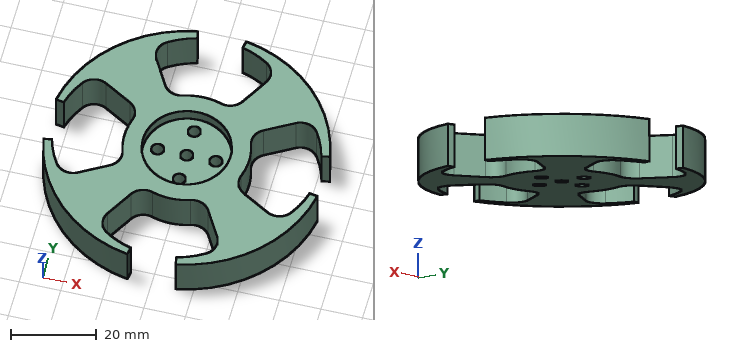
import cadquery as cq
import math

thickness = 10.0
rim_outer_radius = 33.45
rim_tip_wall = 2.0
hub_radius = 15.0
window_count = 4
window_half_angle = 30.0
rim_gap_half_angle = 10.0
window_arc_radius = 22.0
window_corner_radius = 4.0
recess_diameter = 21.0
recess_depth = 3.0
hole_diameter = 3.0
hole_offset = 7.0

rim_tip_radius = rim_outer_radius - rim_tip_wall
window_pitch = 360.0 / window_count
cutter_reach = rim_outer_radius + rim_tip_wall


def polar(radius, angle):
    """Point at a radius, with the angle measured clockwise from +Y."""
    turn = math.radians(angle)
    return (radius * math.sin(turn), radius * math.cos(turn))


tip_x, tip_y = polar(rim_tip_radius, rim_gap_half_angle)
window_arc_center = tip_y - math.sqrt(window_arc_radius**2 - tip_x**2)
window_top = window_arc_center + window_arc_radius

center_across, center_along = polar(window_arc_center, window_half_angle)
window_side_end = center_along + math.sqrt(window_arc_radius**2 - center_across**2)


def sector(inner_radius, side_end, outer_mid, half_angle):
    """Full-height shape centred on +Y, between radial sides and two arcs.

    The inner arc is concentric with the part. The outer arc joins the ends of
    the sides through a point on +Y at outer_mid.
    """
    return (
        cq.Workplane("XY")
        .moveTo(*polar(inner_radius, -half_angle))
        .threePointArc((0, inner_radius), polar(inner_radius, half_angle))
        .lineTo(*polar(side_end, half_angle))
        .threePointArc((0, outer_mid), polar(side_end, -half_angle))
        .close()
        .extrude(thickness)
    )


def window_cutter():
    """Rounded window between two spokes, with the narrower gap through the rim."""
    window = sector(hub_radius, window_side_end, window_top, window_half_angle)
    window = window.edges("|Z").fillet(window_corner_radius)
    gap_start = (hub_radius + rim_tip_radius) / 2
    gap = sector(gap_start, cutter_reach, cutter_reach, rim_gap_half_angle)
    return window.union(gap)


def cut_windows(body):
    cutter = window_cutter()
    for index in range(window_count):
        body = body.cut(cutter.rotate((0, 0, 0), (0, 0, 1), index * window_pitch))
    return body


def cut_recess(body):
    """Round recess in the middle of the top face."""
    recess = (
        cq.Workplane("XY")
        .workplane(offset=thickness - recess_depth)
        .circle(recess_diameter / 2)
        .extrude(recess_depth)
    )
    return body.cut(recess)


def cut_holes(body):
    """Through holes: one at the centre and four around it on the X and Y axes."""
    centres = [
        (0, 0),
        (hole_offset, 0),
        (-hole_offset, 0),
        (0, hole_offset),
        (0, -hole_offset),
    ]
    holes = cq.Workplane("XY").pushPoints(centres).circle(hole_diameter / 2).extrude(thickness)
    return body.cut(holes)


disc = cq.Workplane("XY").circle(rim_outer_radius).extrude(thickness)
result = cut_holes(cut_recess(cut_windows(disc)))